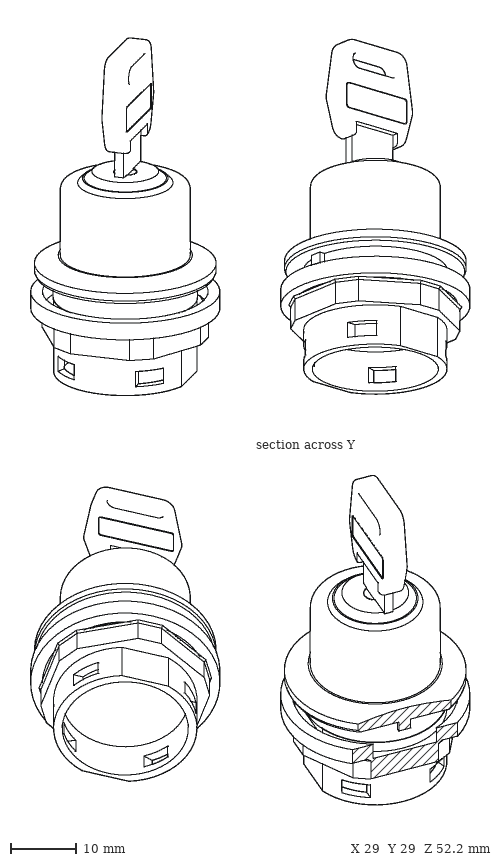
import cadquery as cq
import math

total_height = 52.2
nut_bottom = 6.4
nut_flare_start = 9.9
nut_top = 10.35
collar_bottom = 12.1
ring_top = 13.05
flange_bottom = 15.95
flange_rim_bottom = 16.45
flange_rim_top = 17.7
flange_top = 18.95
barrel_top = 30.75
bevel_top = 31.5
plug_top = 32.55

body_diameter = 22.0
bore_diameter = 19.3
collar_diameter = 22.2
ring_diameter = 29.0
ring_bore_diameter = 25.35
flange_diameter = 27.9
flange_bottom_diameter = 27.4
flange_top_diameter = 20.55
barrel_diameter = 19.95
barrel_round = 1.05
bevel_base_diameter = 14.6
bevel_top_diameter = 13.1
plug_base_diameter = 12.65
plug_top_diameter = 10.25
keyway_diameter = 3.55
keyway_depth = 0.15

body_across_flats = 20.65
window_bottom = 1.4
window_height = 2.45
window_inner_x = 4.95
window_outer_x = 8.5
window_wall_slope = 3.0
window_wall_run = 0.65

nut_across_y_flats = 24.1
nut_across_x_flats = 25.7
nut_flare = 0.25

lug_reach = 12.0
lug_height = 1.7
lug_width = 2.0

key_center_y = 1.2
head_bottom = 36.7
head_widest_z = 42.8
head_top_half = 6.05
head_widest_half = 7.5
head_bottom_half = 5.75
head_thickness = 3.65
head_corner_radius = 2.15
head_side_radius = 1.9
head_edge_round = 0.6
blade_width = 8.2
blade_thickness = 1.45
blade_top = 38.75
slot_length = 9.05
slot_height = 2.45
slot_center_z = 49.0
label_width = 12.0
label_height = 4.05
label_center_z = 42.7
label_corner_radius = 0.4
label_depth = 0.15


def disc(diameter, bottom, top):
    return cq.Workplane("XY").workplane(offset=bottom).circle(diameter / 2).extrude(top - bottom)


def cone(bottom_diameter, top_diameter, bottom, top):
    solid = cq.Solid.makeCone(bottom_diameter / 2, top_diameter / 2, top - bottom, cq.Vector(0, 0, bottom))
    return cq.Workplane(obj=solid)


def window_cutter():
    """Cutter for one window; its outer wall leans away from the Y axis."""
    radius = body_diameter / 2
    outer_y = math.sqrt(radius**2 - window_outer_x**2)
    lean_rise = window_wall_run * window_wall_slope
    outline = [
        (window_inner_x, outer_y - lean_rise),
        (window_outer_x - window_wall_run, outer_y - lean_rise),
        (window_outer_x + window_wall_run, outer_y + lean_rise),
        (window_inner_x, radius + lean_rise),
    ]
    return cq.Workplane("XY").workplane(offset=window_bottom).polyline(outline).close().extrude(window_height)


def make_body():
    body = disc(body_diameter, 0, collar_bottom)
    flats = cq.Workplane("XY").box(body_across_flats, body_diameter, collar_bottom, centered=(True, True, False))
    body = body.intersect(flats).cut(disc(bore_diameter, 0, nut_bottom))
    window = window_cutter()
    opposite = window.mirror("YZ")
    for cutter in (window, opposite, window.mirror("XZ"), opposite.mirror("XZ")):
        body = body.cut(cutter)
    return body


def hexagon_prism(across_flats, turn, bottom, height, taper):
    across_corners = across_flats / math.cos(math.pi / 6)
    prism = cq.Workplane("XY").workplane(offset=bottom).polygon(6, across_corners).extrude(height, taper=taper)
    return prism.rotate((0, 0, 0), (0, 0, 1), turn)


def nut_section(bottom, top, taper):
    height = top - bottom
    flats_on_y = hexagon_prism(nut_across_y_flats, 0, bottom, height, taper)
    flats_on_x = hexagon_prism(nut_across_x_flats, 30, bottom, height, taper)
    return flats_on_y.intersect(flats_on_x)


def make_nut():
    flare_angle = -math.degrees(math.atan2(nut_flare, nut_top - nut_flare_start))
    straight = nut_section(nut_bottom, nut_flare_start, 0)
    flared = nut_section(nut_flare_start, nut_top, flare_angle)
    return straight.union(flared)


def make_ring():
    return disc(ring_diameter, nut_top, ring_top).cut(disc(ring_bore_diameter, nut_top, ring_top))


def make_lug():
    return (
        cq.Workplane("XY")
        .workplane(offset=flange_bottom - lug_height)
        .rect(lug_width, lug_reach)
        .extrude(lug_height)
        .translate((0, lug_reach / 2, 0))
    )


def make_housing():
    barrel = disc(barrel_diameter, flange_top, barrel_top).faces(">Z").edges().fillet(barrel_round)
    housing = disc(collar_diameter, collar_bottom, flange_bottom)
    housing = housing.union(cone(flange_bottom_diameter, flange_diameter, flange_bottom, flange_rim_bottom))
    housing = housing.union(disc(flange_diameter, flange_rim_bottom, flange_rim_top))
    housing = housing.union(cone(flange_diameter, flange_top_diameter, flange_rim_top, flange_top))
    housing = housing.union(barrel)
    housing = housing.union(cone(bevel_base_diameter, bevel_top_diameter, barrel_top, bevel_top))
    housing = housing.union(cone(plug_base_diameter, plug_top_diameter, bevel_top, plug_top))
    return housing.cut(disc(keyway_diameter, plug_top - keyway_depth, plug_top))


def key_plane(x):
    """Plane facing +X at the given X, with Y across and Z up, centred on the key."""
    return cq.Workplane("YZ", origin=(x, key_center_y, 0))


def make_key_head():
    outline = [
        (-head_bottom_half, head_bottom),
        (head_bottom_half, head_bottom),
        (head_widest_half, head_widest_z),
        (head_top_half, total_height),
        (-head_top_half, total_height),
        (-head_widest_half, head_widest_z),
    ]
    half = head_thickness / 2
    head = key_plane(-half).polyline(outline).close().extrude(head_thickness)
    head = head.edges("|X").edges("<Y or >Y").fillet(head_side_radius)
    for end in ("<Z", ">Z"):
        head = head.faces(end).edges("|X").fillet(head_corner_radius)
    slot = key_plane(-half).center(0, slot_center_z).slot2D(slot_length, slot_height).extrude(head_thickness)
    head = head.cut(slot).faces("<X or >X").edges().fillet(head_edge_round)
    notch = key_plane(-half).center(0, (head_bottom + blade_top) / 2)
    head = head.cut(notch.rect(blade_width, blade_top - head_bottom).extrude(head_thickness))
    for start in (-half, half - label_depth):
        label = key_plane(start).center(0, label_center_z).rect(label_width, label_height).extrude(label_depth)
        head = head.cut(label.edges("|X").fillet(label_corner_radius))
    return head


def make_key_blade():
    bottom = plug_top - keyway_depth
    height = blade_top - bottom
    blade = key_plane(-blade_thickness / 2).center(0, bottom + height / 2)
    return blade.rect(blade_width, height).extrude(blade_thickness)


result = make_body()
for piece in (make_nut(), make_ring(), make_housing(), make_lug(), make_key_blade(), make_key_head()):
    result = result.union(piece)